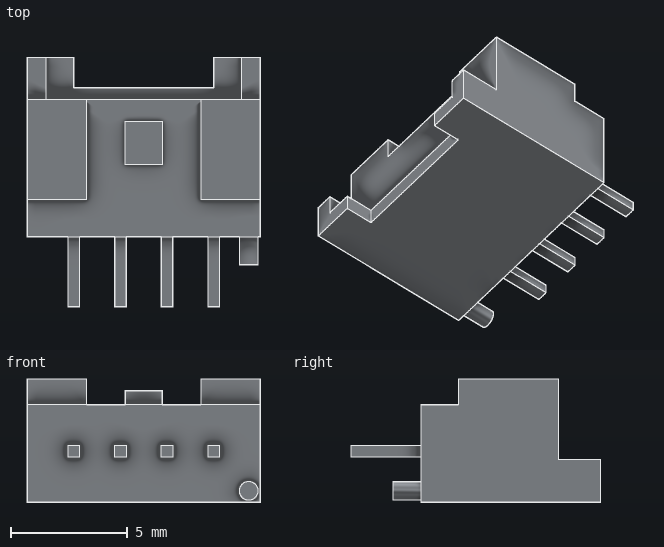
import cadquery as cq

housing_width = 10.0
housing_depth = 5.9
housing_height = 4.2

shelf_length = 1.8
shelf_height = 1.85
shelf_wall = 0.8
shelf_floor = 0.8
shelf_notch_width = 6.0
shelf_notch_depth = 1.3

shoulder_width = 2.55
shoulder_rise = 1.1
shoulder_setback = 1.6

bump_width = 1.6
bump_length = 1.85
bump_rise = 0.6
bump_setback = 3.1

pin_count = 4
pin_pitch = 2.0
pin_size = 0.5
pin_length = 3.0
pin_height = 2.2

peg_diameter = 0.8
peg_length = 1.2
peg_x = 4.5
peg_z = 0.5


def block(width, length, height, x_centre, y_start, z_start):
    """Box centred on x_centre, growing along +Y and +Z from its start corner."""
    box = cq.Workplane("XY").box(width, length, height, centered=(True, False, False))
    return box.translate((x_centre, y_start, z_start))


def make_shelf():
    """Base shelf: a low floor between two side walls, notched at its free edge."""
    shelf_end = housing_depth + shelf_length
    shelf = block(housing_width, shelf_length, shelf_height, 0, housing_depth, 0)
    recess_width = housing_width - 2 * shelf_wall
    recess = block(recess_width, shelf_length, shelf_height - shelf_floor, 0, housing_depth, shelf_floor)
    notch_start = shelf_end - shelf_notch_depth
    notch = block(shelf_notch_width, shelf_notch_depth, shelf_height, 0, notch_start, 0)
    return shelf.cut(recess).cut(notch)


def make_shoulder(side):
    """Raised shoulder flush with the side wall; side is -1 or 1."""
    x_centre = side * (housing_width - shoulder_width) / 2
    length = housing_depth - shoulder_setback
    return block(shoulder_width, length, shoulder_rise, x_centre, shoulder_setback, housing_height)


def make_pin(index):
    """Square pin projecting toward -Y from the pin face."""
    x_centre = (index - (pin_count - 1) / 2) * pin_pitch
    return block(pin_size, pin_length, pin_size, x_centre, -pin_length, pin_height - pin_size / 2)


def make_peg():
    """Round peg projecting toward -Y from the pin face."""
    peg = cq.Workplane("XZ").center(peg_x, peg_z).circle(peg_diameter / 2)
    return peg.extrude(peg_length)


result = block(housing_width, housing_depth, housing_height, 0, 0, 0)
result = result.union(make_shelf())
for side in (-1, 1):
    result = result.union(make_shoulder(side))
result = result.union(block(bump_width, bump_length, bump_rise, 0, bump_setback, housing_height))
for index in range(pin_count):
    result = result.union(make_pin(index))
result = result.union(make_peg())